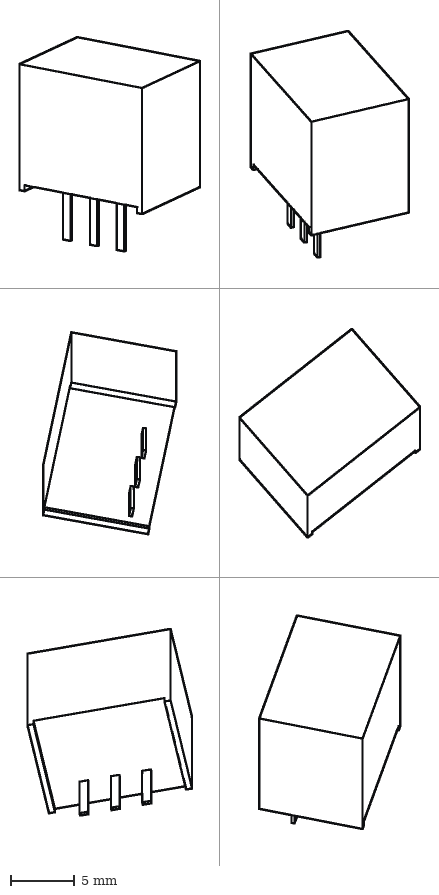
import cadquery as cq

body_width = 11.6
body_depth = 8.5
total_height = 14.6

body_height = 10.5
foot_width = 0.5
foot_height = 0.5

pin_count = 3
pin_pitch = 2.54
pin_width = 0.7
pin_thickness = 0.25
pin_front_offset = 2.0

case_bottom = total_height - body_height
case_floor = case_bottom + foot_height
pin_y = pin_front_offset - body_depth / 2


def upright_box(width, depth, height, x=0, y=0, z=0):
    """Box centred on x and y, with its bottom at z."""
    return cq.Workplane("XY").box(width, depth, height, centered=(True, True, False)).translate((x, y, z))


def make_case():
    block = upright_box(body_width, body_depth, body_height, z=case_bottom)
    channel_width = body_width - 2 * foot_width
    channel = upright_box(channel_width, body_depth, foot_height, z=case_bottom)
    return block.cut(channel)


def make_pin(index):
    x = (index - (pin_count - 1) / 2) * pin_pitch
    return upright_box(pin_width, pin_thickness, case_floor, x=x, y=pin_y)


result = make_case()
for pin_index in range(pin_count):
    result = result.union(make_pin(pin_index))